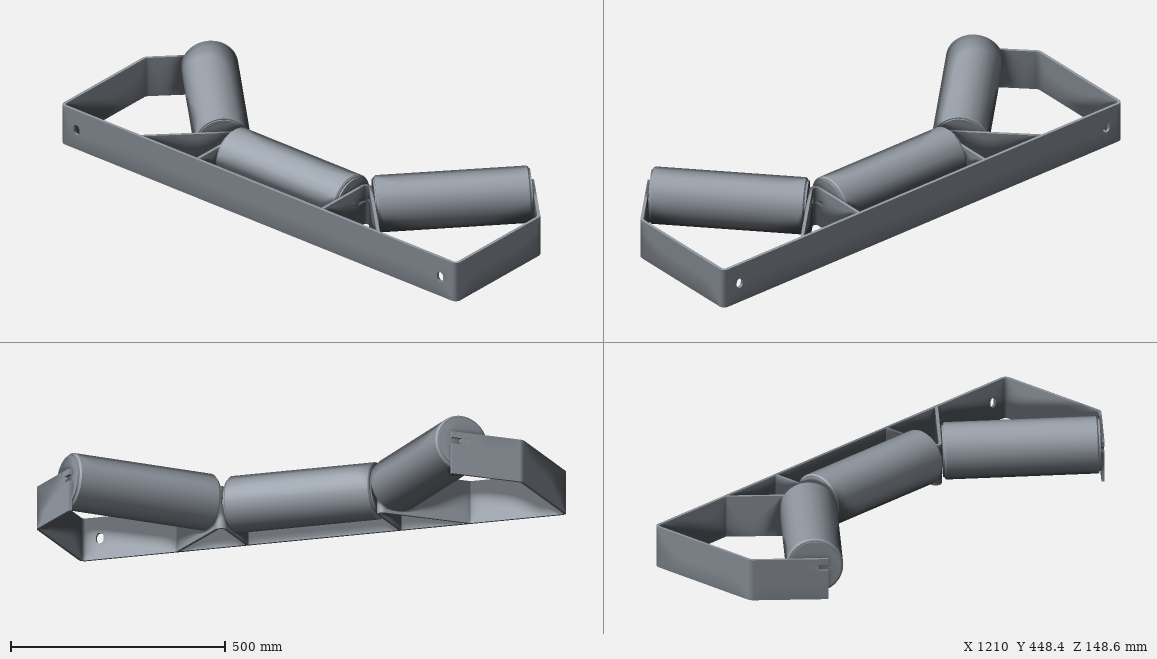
import cadquery as cq
import math


STRIP_HEIGHT = 102.0
STRIP_THICKNESS = 7.0
WING_ANGLE = 45.0
DIAGONAL = math.sqrt(0.5)

FRAME_LENGTH = 1210.0
FRAME_CORNER_RADIUS = 15.0
FRAME_WING_RADIUS = 20.0
SIDE_WALL_DEPTH = 305.0
FRAME_END_Y = 434.0
MOUNT_HOLE_WIDTH = 18.0
MOUNT_HOLE_HEIGHT = 25.0
MOUNT_HOLE_INSET = 50.0

ROLLER_DIAMETER = 134.0
ROLLER_LENGTH = 362.0
ROLLER_CHAMFER = 4.0
CAP_DIAMETER = 121.0
CAP_LENGTH = 369.0
CENTRE_AXIS_Y = 126.0
CENTRE_AXIS_Z = 65.0
SIDE_AXIS_SUM = -86.0
SIDE_MIDDLE_Z = 75.0
SIDE_TILT = 1.5

BRACKET_BEND_RADIUS = 7.0
SUPPORT_SPACING = 373.0

SHAFT_DIAMETER = 20.0
SHAFT_FLAT_WIDTH = 15.0
SHAFT_LENGTH = SUPPORT_SPACING + 2 * STRIP_THICKNESS
SLOT_REACH = 60.0
SLOT_OVERRUN = 2.0

HALF_LENGTH = FRAME_LENGTH / 2
WING_FACE = SIDE_WALL_DEPTH + HALF_LENGTH - STRIP_THICKNESS / DIAGONAL
SIDE_MIDDLE = WING_FACE - SUPPORT_SPACING / 2 / DIAGONAL
BRACKET_FACE = WING_FACE - SUPPORT_SPACING / DIAGONAL
SIDE_MIDDLE_X = (SIDE_AXIS_SUM - SIDE_MIDDLE) / 2
SIDE_MIDDLE_Y = (SIDE_AXIS_SUM + SIDE_MIDDLE) / 2


def mirrored(body):
    return body.mirror("YZ")


def placed_on_axes(body):
    """Copies of a body built along X, moved to the centre, left and right roller axes."""
    centre = body.translate((0, CENTRE_AXIS_Y, CENTRE_AXIS_Z))
    left = (
        body.rotate((0, 0, 0), (0, 1, 0), SIDE_TILT)
        .rotate((0, 0, 0), (0, 0, 1), -WING_ANGLE)
        .translate((SIDE_MIDDLE_X, SIDE_MIDDLE_Y, SIDE_MIDDLE_Z))
    )
    return [centre, left, mirrored(left)]


def shaft_slots():
    """Cutters for the slots, open upwards in +Y, that take the flattened shaft ends."""
    length = SHAFT_LENGTH + 2 * SLOT_OVERRUN
    slot = (
        cq.Workplane("XY")
        .box(length, SLOT_REACH, SHAFT_FLAT_WIDTH, centered=(True, False, True))
        .translate((0, -SHAFT_DIAMETER / 2, 0))
    )
    return placed_on_axes(slot)


def cut_slots(body):
    for slot in shaft_slots():
        body = body.cut(slot)
    return body


def round_edge(body, x, y, radius):
    """Round the upright edge that stands at the given place."""
    nearest = cq.selectors.NearestToPointSelector((x, y, STRIP_HEIGHT / 2))
    return body.edges("|Z").edges(nearest).fillet(radius)


def frame():
    wing_run = FRAME_END_Y - SIDE_WALL_DEPTH
    wing_offset = STRIP_THICKNESS * DIAGONAL
    inner_x = HALF_LENGTH - STRIP_THICKNESS
    inner_bend_y = WING_FACE - inner_x
    left_side = [
        (0, 0),
        (-HALF_LENGTH, 0),
        (-HALF_LENGTH, SIDE_WALL_DEPTH),
        (-HALF_LENGTH + wing_run, FRAME_END_Y),
        (-HALF_LENGTH + wing_run + wing_offset, FRAME_END_Y - wing_offset),
        (-inner_x, inner_bend_y),
        (-inner_x, STRIP_THICKNESS),
        (0, STRIP_THICKNESS),
    ]
    half = cq.Workplane("XY").polyline(left_side).close().extrude(STRIP_HEIGHT)
    half = round_edge(half, -HALF_LENGTH, 0, FRAME_CORNER_RADIUS)
    half = round_edge(half, -inner_x, STRIP_THICKNESS, FRAME_CORNER_RADIUS - STRIP_THICKNESS)
    half = round_edge(half, -HALF_LENGTH, SIDE_WALL_DEPTH, FRAME_WING_RADIUS)
    half = round_edge(half, -inner_x, inner_bend_y, FRAME_WING_RADIUS - STRIP_THICKNESS)
    hole = (
        cq.Workplane("XZ")
        .center(MOUNT_HOLE_INSET - HALF_LENGTH, STRIP_HEIGHT / 2)
        .slot2D(MOUNT_HOLE_HEIGHT, MOUNT_HOLE_WIDTH, 90)
        .extrude(-STRIP_THICKNESS)
    )
    half = half.cut(hole)
    return cut_slots(half.union(mirrored(half)))


def bracket():
    """The left bracket: a diagonal leg and an upright leg joined by a tight bend."""
    foot_y = STRIP_THICKNESS
    face_x = -SUPPORT_SPACING / 2
    back_x = face_x - STRIP_THICKNESS
    back_line = BRACKET_FACE - STRIP_THICKNESS / DIAGONAL
    outer_radius = BRACKET_BEND_RADIUS + STRIP_THICKNESS
    bend_x = back_x - BRACKET_BEND_RADIUS
    bend_y = bend_x + back_line - BRACKET_BEND_RADIUS / DIAGONAL

    def on_diagonal(radius):
        return (bend_x - radius * DIAGONAL, bend_y + radius * DIAGONAL)

    def on_crown(radius):
        angle = math.radians(WING_ANGLE + 90) / 2
        return (bend_x + radius * math.cos(angle), bend_y + radius * math.sin(angle))

    legs = (
        cq.Workplane("XY")
        .moveTo(foot_y - BRACKET_FACE, foot_y)
        .lineTo(*on_diagonal(outer_radius))
        .threePointArc(on_crown(outer_radius), (face_x, bend_y))
        .lineTo(face_x, foot_y)
        .lineTo(back_x, foot_y)
        .lineTo(back_x, bend_y)
        .threePointArc(on_crown(BRACKET_BEND_RADIUS), on_diagonal(BRACKET_BEND_RADIUS))
        .lineTo(foot_y - back_line, foot_y)
        .close()
        .extrude(STRIP_HEIGHT)
    )
    return cut_slots(legs)


def bar_along_x(diameter, length):
    return cq.Workplane("YZ", origin=(-length / 2, 0, 0)).circle(diameter / 2).extrude(length)


def roller():
    shell = bar_along_x(ROLLER_DIAMETER, ROLLER_LENGTH).edges().chamfer(ROLLER_CHAMFER)
    caps = bar_along_x(CAP_DIAMETER, CAP_LENGTH)
    bore = bar_along_x(SHAFT_DIAMETER, CAP_LENGTH)
    return shell.union(caps).cut(bore)


def shaft():
    flat_bar = cq.Workplane("XY").box(SHAFT_LENGTH, SHAFT_DIAMETER, SHAFT_FLAT_WIDTH)
    flattened = bar_along_x(SHAFT_DIAMETER, SHAFT_LENGTH).intersect(flat_bar)
    return flattened.union(bar_along_x(SHAFT_DIAMETER, CAP_LENGTH))


left_bracket = bracket()
brackets = [left_bracket, mirrored(left_bracket)]
rollers = placed_on_axes(roller())
shafts = placed_on_axes(shaft())

bodies = [frame(), *brackets, *rollers, *shafts]
result = cq.Compound.makeCompound([body.val() for body in bodies])